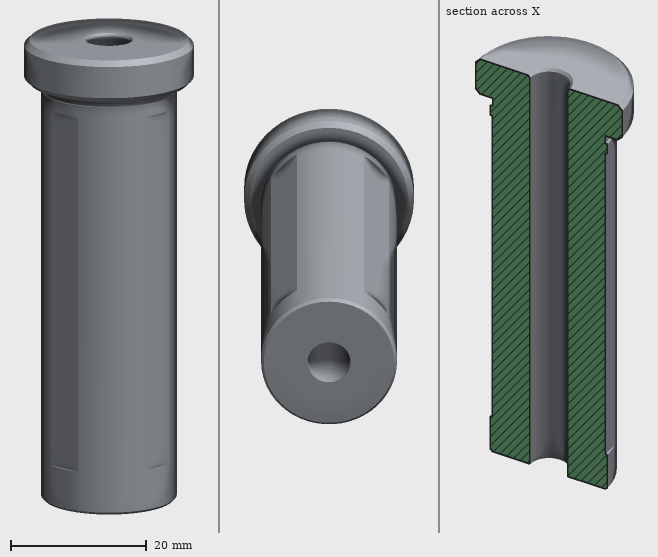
import cadquery as cq

full_turn = 360

total_length = 69.85
head_diameter = 25.0
head_height = 6.35
head_chamfer = 0.8

shank_diameter = 20.0
tip_chamfer = 0.4

relief_depth = 0.4
relief_height = 1.3

flat_count = 4
flat_depth = 0.36
flat_bottom_z = 6.35
flat_length = 54.0

bore_diameter = 6.35
bore_chamfer = 0.4

head_radius = head_diameter / 2
shank_radius = shank_diameter / 2
relief_radius = shank_radius - relief_depth
bore_radius = bore_diameter / 2
head_bottom_z = total_length - head_height
relief_bottom_z = head_bottom_z - relief_height


def make_body():
    """Headed bushing with its bore and relief groove, revolved about Z."""
    half_section = [
        (bore_radius, 0),
        (shank_radius - tip_chamfer, 0),
        (shank_radius, tip_chamfer),
        (shank_radius, relief_bottom_z),
        (relief_radius, relief_bottom_z),
        (relief_radius, head_bottom_z),
        (head_radius - head_chamfer, head_bottom_z),
        (head_radius, head_bottom_z + head_chamfer),
        (head_radius, total_length - head_chamfer),
        (head_radius - head_chamfer, total_length),
        (bore_radius + bore_chamfer, total_length),
        (bore_radius, total_length - bore_chamfer),
    ]
    return cq.Workplane("XZ").polyline(half_section).close().revolve(full_turn, (0, 0, 0), (0, 1, 0))


def make_flat_cutter(angle):
    """Block that removes one flat from the shank, turned by angle about Z."""
    block = cq.Workplane("XY").box(
        shank_radius, shank_diameter, flat_length, centered=(False, True, False)
    )
    placed = block.translate((shank_radius - flat_depth, 0, flat_bottom_z))
    return placed.rotate((0, 0, 0), (0, 0, 1), angle)


result = make_body()
for index in range(flat_count):
    result = result.cut(make_flat_cutter(index * full_turn / flat_count))